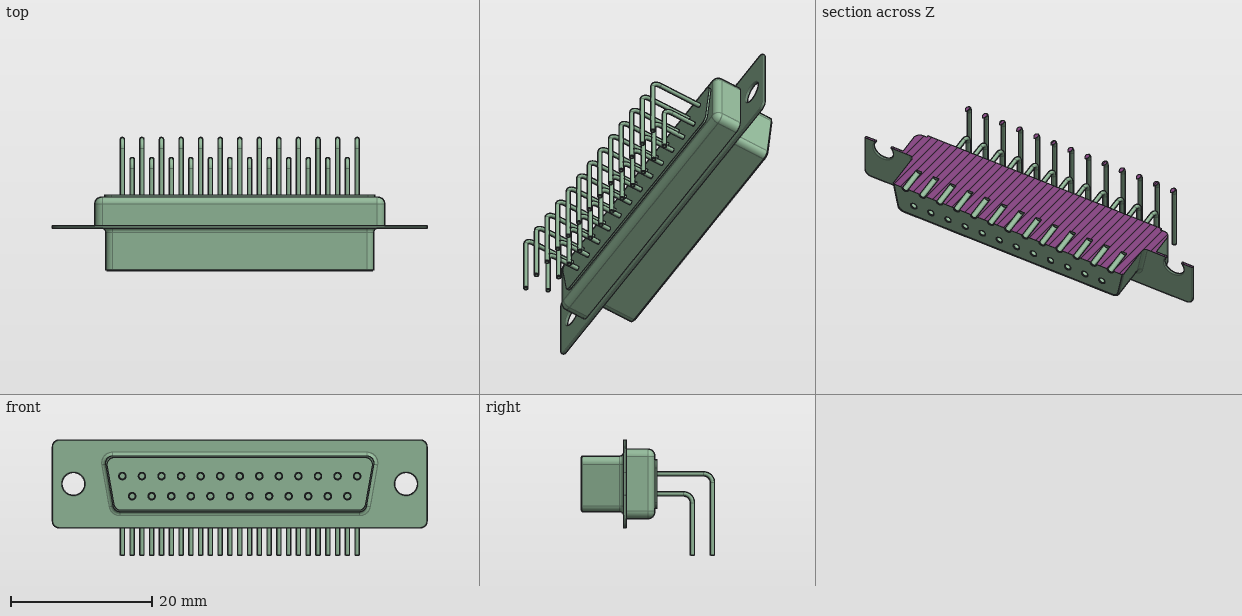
import cadquery as cq
import math


OVERALL_DEPTH = 18.96

FLANGE_WIDTH = 53.1
FLANGE_HEIGHT = 12.5
FLANGE_THICKNESS = 0.4
FLANGE_CORNER_RADIUS = 1.0
FLANGE_EDGE_RADIUS = 0.1
MOUNT_HOLE_DIAMETER = 3.2
MOUNT_HOLE_SPACING = 47.1

D_SIDE_ANGLE = 10.0
D_CORNER_RADIUS = 1.0
SOCKET_WIDTH = 38.0
SOCKET_HEIGHT = 7.9
SOCKET_LENGTH = 6.05
INSULATOR_FACE_STANDOUT = 0.13
INSULATOR_FACE_INSET = 0.22
SOCKET_EDGE_RADIUS = 0.12
SOCKET_ROOT_RADIUS = 0.55

REAR_SHELL_WIDTH = 41.1
REAR_SHELL_HEIGHT = 9.9
REAR_SHELL_LENGTH = 4.05
REAR_SHELL_CORNER_RADIUS = 1.1
REAR_SHELL_EDGE_RADIUS = 1.0

INSULATOR_WIDTH = 38.3
INSULATOR_HEIGHT = 6.9
INSULATOR_STANDOUT = 0.3

CONTACT_PITCH = 2.77
ROW_SPACING = 2.84
UPPER_ROW_COUNT = 13
LOWER_ROW_COUNT = 12
CONTACT_HOLE_DIAMETER = 0.85
CONTACT_HOLE_CHAMFER = 0.1
CONTACT_HOLE_DEPTH = 4.0
CONTACT_HOLE_OFFSET_Z = -0.32

PIN_DIAMETER = 0.64
PIN_BEND_RADIUS = 1.25
PIN_DROP_BELOW_FLANGE = 3.9
PIN_TIP_CHAMFER = 0.1

SELECTION_MARGIN = 0.1

SOCKET_RIM_Y = INSULATOR_FACE_STANDOUT - SOCKET_LENGTH
REAR_SHELL_BACK_Y = FLANGE_THICKNESS + REAR_SHELL_LENGTH
INSULATOR_BACK_Y = REAR_SHELL_BACK_Y + INSULATOR_STANDOUT
PIN_TIP_Z = -FLANGE_HEIGHT / 2 - PIN_DROP_BELOW_FLANGE
UPPER_PIN_DROP_Y = OVERALL_DEPTH - SOCKET_LENGTH - PIN_DIAMETER / 2
LOWER_PIN_DROP_Y = UPPER_PIN_DROP_Y - ROW_SPACING


def d_prism(width, height, start_y, end_y):
    """D-shaped block, wide side up, with its four long edges rounded."""
    slope = math.tan(math.radians(D_SIDE_ANGLE))
    corner_overhang = D_CORNER_RADIUS * (math.tan(math.radians(45 + D_SIDE_ANGLE / 2)) - 1)
    half_top = width / 2 + corner_overhang
    half_bottom = half_top - height * slope
    outline = [
        (-half_top, height / 2),
        (half_top, height / 2),
        (half_bottom, -height / 2),
        (-half_bottom, -height / 2),
    ]
    block = cq.Workplane("XZ", origin=(0, start_y, 0)).polyline(outline).close().extrude(start_y - end_y)
    return block.edges("|Y").fillet(D_CORNER_RADIUS)


def row_positions(count):
    """X positions of one centred contact row."""
    return [(index - (count - 1) / 2) * CONTACT_PITCH for index in range(count)]


def make_flange():
    """Thin plate with two mounting holes, all rims slightly rounded."""
    return (
        cq.Workplane("XZ")
        .rect(FLANGE_WIDTH, FLANGE_HEIGHT)
        .extrude(-FLANGE_THICKNESS)
        .edges("|Y")
        .fillet(FLANGE_CORNER_RADIUS)
        .faces("<Y")
        .workplane(origin=(0, 0, 0))
        .pushPoints([(-MOUNT_HOLE_SPACING / 2, 0), (MOUNT_HOLE_SPACING / 2, 0)])
        .hole(MOUNT_HOLE_DIAMETER)
        .faces("<Y or >Y")
        .edges()
        .fillet(FLANGE_EDGE_RADIUS)
    )


def make_shell():
    """Flange with the socket in front and the rear shell behind it."""
    socket = d_prism(SOCKET_WIDTH, SOCKET_HEIGHT, 0, SOCKET_RIM_Y)
    socket = socket.faces("<Y").edges().fillet(SOCKET_EDGE_RADIUS)
    rear_shell = (
        cq.Workplane("XZ", origin=(0, FLANGE_THICKNESS, 0))
        .rect(REAR_SHELL_WIDTH, REAR_SHELL_HEIGHT)
        .extrude(-REAR_SHELL_LENGTH)
        .edges("|Y")
        .fillet(REAR_SHELL_CORNER_RADIUS)
        .faces(">Y")
        .edges()
        .fillet(REAR_SHELL_EDGE_RADIUS)
    )
    insulator_face = d_prism(
        SOCKET_WIDTH - 2 * INSULATOR_FACE_INSET,
        SOCKET_HEIGHT - 2 * INSULATOR_FACE_INSET,
        SOCKET_RIM_Y,
        -SOCKET_LENGTH,
    )
    insulator_back = d_prism(INSULATOR_WIDTH, INSULATOR_HEIGHT, REAR_SHELL_BACK_Y, INSULATOR_BACK_Y)

    front = make_flange().union(socket)
    half_width = SOCKET_WIDTH / 2 + SELECTION_MARGIN
    half_height = SOCKET_HEIGHT / 2 + SELECTION_MARGIN
    root_edges = cq.selectors.BoxSelector(
        (-half_width, -SELECTION_MARGIN, -half_height),
        (half_width, SELECTION_MARGIN, half_height),
        boundingbox=True,
    )
    front = front.edges(root_edges).fillet(SOCKET_ROOT_RADIUS)
    return front.union(rear_shell).union(insulator_face).union(insulator_back)


def make_contact_holes(count, center_z):
    """Cutters for one row of blind contact holes with chamfered mouths."""
    points = [(x, center_z) for x in row_positions(count)]
    socket_face = cq.Workplane("XZ", origin=(0, -SOCKET_LENGTH, 0)).pushPoints(points)
    bores = socket_face.circle(CONTACT_HOLE_DIAMETER / 2).extrude(-CONTACT_HOLE_DEPTH)
    mouths = socket_face.circle(CONTACT_HOLE_DIAMETER / 2 + CONTACT_HOLE_CHAMFER).extrude(
        -CONTACT_HOLE_CHAMFER, taper=45
    )
    return bores.union(mouths)


def make_pin(x, row_z, drop_y):
    """Round pin that starts at the back of the rear shell, runs back and bends down."""
    bend_start_y = drop_y - PIN_BEND_RADIUS
    bend_end_z = row_z - PIN_BEND_RADIUS
    bend_mid_offset = PIN_BEND_RADIUS * math.sin(math.radians(45))
    bend_mid = (bend_start_y + bend_mid_offset, bend_end_z + bend_mid_offset)
    path = (
        cq.Workplane("YZ", origin=(x, 0, 0))
        .moveTo(REAR_SHELL_BACK_Y, row_z)
        .lineTo(bend_start_y, row_z)
        .threePointArc(bend_mid, (drop_y, bend_end_z))
        .lineTo(drop_y, PIN_TIP_Z)
    )
    profile = cq.Workplane("XZ", origin=(x, REAR_SHELL_BACK_Y, row_z)).circle(PIN_DIAMETER / 2)
    return profile.sweep(path).faces("<Z").chamfer(PIN_TIP_CHAMFER)


def make_connector():
    """Shell with both contact rows bored and their solder pins attached."""
    rows = [
        (UPPER_ROW_COUNT, ROW_SPACING / 2, UPPER_PIN_DROP_Y),
        (LOWER_ROW_COUNT, -ROW_SPACING / 2, LOWER_PIN_DROP_Y),
    ]
    connector = make_shell()
    for count, row_z, drop_y in rows:
        connector = connector.cut(make_contact_holes(count, row_z + CONTACT_HOLE_OFFSET_Z))
        for x in row_positions(count):
            connector = connector.union(make_pin(x, row_z, drop_y))
    return connector


result = make_connector()